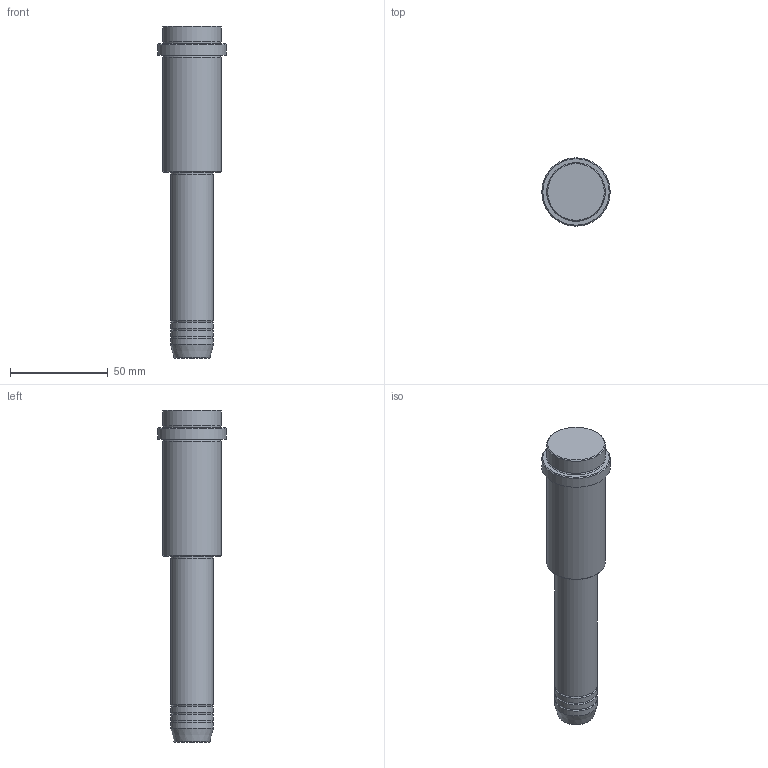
import cadquery as cq
import math

total_length = 170.0
body_length = 75.0
body_radius = 15.0
body_edge_chamfer = 0.5

collar_radius = 17.5
collar_top_depth = 9.0
collar_height = 6.0
collar_chamfer = 0.5

body_groove_radius = 0.5

shank_radius = 11.0

undercut_height = 1.0
undercut_depth = 0.5

oil_groove_count = 3
oil_groove_pitch = 4.0
oil_groove_radius = 0.5
top_oil_groove_height = 18.5

lead_in_length = 7.0
lead_in_angle = 15.0
tip_fillet = 0.5

body_bottom = total_length - body_length
collar_top = total_length - collar_top_depth
collar_bottom = collar_top - collar_height


def cylinder(radius, bottom, top):
    return cq.Workplane("XY").workplane(offset=bottom).circle(radius).extrude(top - bottom)


def round_groove(outer_radius, center_height, groove_radius):
    """Half-round ring to remove from a cylinder of the given outer radius."""
    return (
        cq.Workplane("XZ")
        .moveTo(outer_radius, center_height - groove_radius)
        .threePointArc(
            (outer_radius - groove_radius, center_height),
            (outer_radius, center_height + groove_radius),
        )
        .close()
        .revolve(360, (0, 0, 0), (0, 1, 0))
    )


def make_body():
    body = cylinder(body_radius, body_bottom, total_length)
    return body.faces("<Z or >Z").edges().chamfer(body_edge_chamfer)


def make_collar():
    collar = cylinder(collar_radius, collar_bottom, collar_top)
    return collar.faces(">Z").edges().chamfer(collar_chamfer)


def make_shank():
    tip_radius = shank_radius - lead_in_length * math.tan(math.radians(lead_in_angle))
    lead_in = (
        cq.Workplane("XY")
        .circle(tip_radius)
        .workplane(offset=lead_in_length)
        .circle(shank_radius)
        .loft()
        .faces("<Z")
        .edges()
        .fillet(tip_fillet)
    )
    return cylinder(shank_radius, lead_in_length, body_bottom).union(lead_in)


def cut_body_grooves(part):
    for groove_height in (collar_top + body_groove_radius, collar_bottom - body_groove_radius):
        part = part.cut(round_groove(body_radius, groove_height, body_groove_radius))
    return part


def cut_undercut(part):
    undercut_bottom = body_bottom - undercut_height
    outer = cylinder(shank_radius, undercut_bottom, body_bottom)
    core = cylinder(shank_radius - undercut_depth, undercut_bottom, body_bottom)
    return part.cut(outer.cut(core))


def cut_oil_grooves(part):
    for index in range(oil_groove_count):
        groove_height = top_oil_groove_height - index * oil_groove_pitch
        part = part.cut(round_groove(shank_radius, groove_height, oil_groove_radius))
    return part


pillar = make_body().union(make_collar()).union(make_shank())
result = cut_oil_grooves(cut_undercut(cut_body_grooves(pillar)))